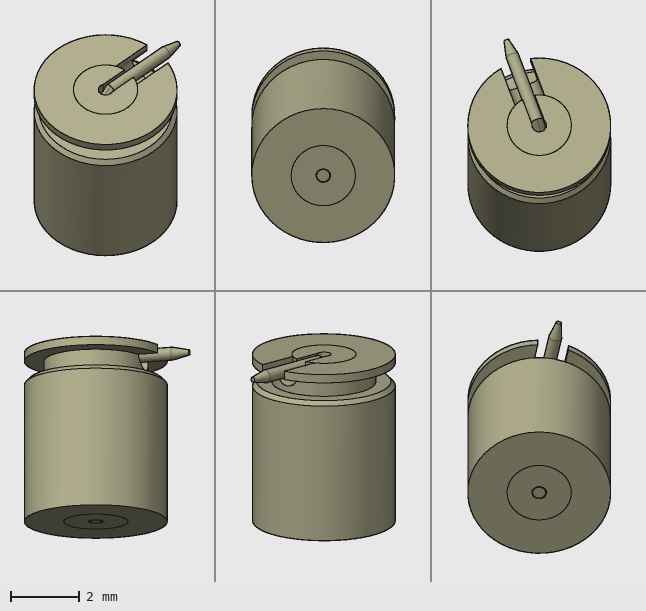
import cadquery as cq

height = 5.08
body_radius = 2.095
flange_thickness = 0.254
neck_radius = 1.524
neck_length = 0.58
shoulder_chamfer = 0.13
shoulder_z = height - flange_thickness - neck_length

insulator_radius = 0.94
pin_hole_radius = 0.208

pin_radius = 0.192
tip_radius = 0.078
tip_length = 0.51
pin_end_y = 2.875
pin_axis_z = height - pin_radius

elbow_reach = 0.2
elbow_bottom_z = pin_axis_z - elbow_reach

channel_radius = 0.46


def cylinder_along_y(radius, start_y, end_y):
    """Round bar on the horizontal pin axis between two Y positions."""
    plane = cq.Plane(origin=(0, start_y, pin_axis_z), xDir=(1, 0, 0), normal=(0, 1, 0))
    return cq.Workplane(plane).circle(radius).extrude(end_y - start_y)


def open_channel(radius):
    """U-shaped cutter from the vertical axis out through +Y, open at the top."""
    upper_walls = (
        cq.Workplane("XY")
        .box(2 * radius, pin_end_y, pin_radius, centered=(True, False, False))
        .translate((0, 0, pin_axis_z))
    )
    return cylinder_along_y(radius, 0, pin_end_y).union(upper_walls)


def make_housing():
    """Stepped sleeve with a top flange, a neck and a slot for the pin."""
    body = (
        cq.Workplane("XY")
        .circle(body_radius)
        .extrude(shoulder_z)
        .faces(">Z")
        .chamfer(shoulder_chamfer)
    )
    neck = cq.Workplane("XY", origin=(0, 0, shoulder_z)).circle(neck_radius).extrude(neck_length)
    flange = (
        cq.Workplane("XY", origin=(0, 0, height - flange_thickness))
        .circle(body_radius)
        .extrude(flange_thickness)
    )
    bore = cq.Workplane("XY").circle(insulator_radius).extrude(height)
    return body.union(neck).union(flange).cut(bore).cut(open_channel(channel_radius))


def make_pin():
    """Right-angle pin: vertical leg, 45 degree elbow, horizontal leg and tapered tip."""
    vertical_leg = cq.Workplane("XY").circle(pin_radius).extrude(elbow_bottom_z)

    vertical_end = cq.Wire.makeCircle(pin_radius, cq.Vector(0, 0, elbow_bottom_z), cq.Vector(0, 0, 1))
    horizontal_end = cq.Wire.makeCircle(
        pin_radius, cq.Vector(0, elbow_reach, pin_axis_z), cq.Vector(0, 1, 0)
    )
    elbow = cq.Workplane(cq.Solid.makeLoft([vertical_end, horizontal_end], True))

    taper_start_y = pin_end_y - tip_length
    horizontal_leg = cylinder_along_y(pin_radius, elbow_reach, taper_start_y)
    tip = cq.Workplane(
        cq.Solid.makeCone(
            pin_radius,
            tip_radius,
            tip_length,
            pnt=cq.Vector(0, taper_start_y, pin_axis_z),
            dir=cq.Vector(0, 1, 0),
        )
    )
    return elbow.union(vertical_leg).union(horizontal_leg).union(tip)


def make_insulator(pin):
    """Core of the housing with a clearance hole and a fitted seat for the pin."""
    core = cq.Workplane("XY").circle(insulator_radius).extrude(height)
    pin_hole = cq.Workplane("XY").circle(pin_hole_radius).extrude(height)
    return core.cut(pin_hole).cut(open_channel(pin_radius)).cut(pin)


housing = make_housing()
pin = make_pin()
insulator = make_insulator(pin)

result = cq.Compound.makeCompound(
    [*housing.solids().vals(), *insulator.solids().vals(), *pin.solids().vals()]
)